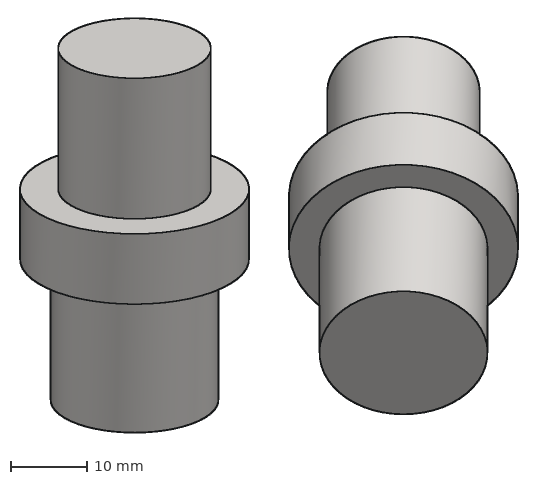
import cadquery as cq

lower_diameter = 22
collar_diameter = 30
upper_diameter = 20
shank_length = 20
collar_thickness = 10

collar_bottom = shank_length
collar_top = collar_bottom + collar_thickness


def cylinder(diameter, length, base_height):
    """Upright cylinder standing at the given height."""
    return cq.Workplane("XY").workplane(offset=base_height).circle(diameter / 2).extrude(length)


lower_shank = cylinder(lower_diameter, shank_length, 0)
collar = cylinder(collar_diameter, collar_thickness, collar_bottom)
upper_shank = cylinder(upper_diameter, shank_length, collar_top)

result = lower_shank.union(collar).union(upper_shank)